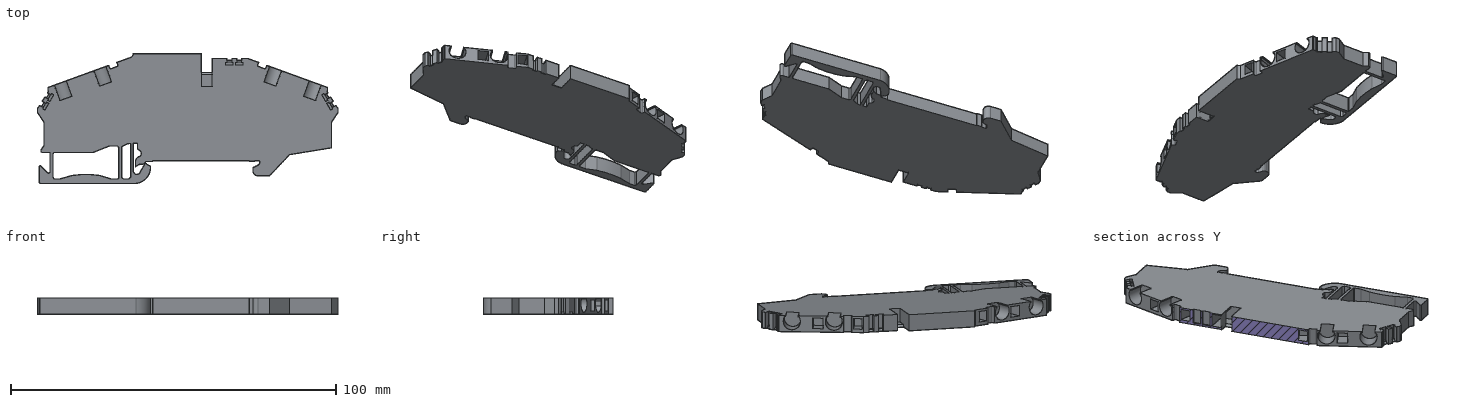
import cadquery as cq
import math

length = 92.42
height = 39.9
thickness = 5.1
half_length = length / 2
overrun = 1.0

slope = 20.0
shoulder_foot = (-42.87, 29.57)
notch_start = 19.8
notch_end = 22.4
notch_depth = 1.2
notch_fillet = 0.35
shoulder_end = 27.2

lower_entry = 3.96
upper_entry = 16.9
entry_radius = 2.64
entry_axis_z = 3.3
entry_depth = 5.07
entry_mouth_z = 4.75
entry_mouth_width = 3.87
upper_entry_flat = 2.53

tool_entries = ((10.4, 13.6), (22.9, 25.6))
tool_entry_bottom = 1.1
tool_entry_top = 4.4

marker_pitch = 3.06
neck_width = 1.5
neck_depth = 1.2
bar_width = 2.4
bar_depth = 1.95
marker_open_depth = 0.5
marker_bevel = 0.6
marker_floor_z = 0.7
end_marker_center = (-44.23, 25.9)
end_marker_angle = 60.0

roof_left = -16.78
deck_y = 38.45
deck_marker_x = 14.31

bridge_left = 4.19
bridge_right = 7.5
bridge_open_y = 34.2
bridge_bevel = 0.7
bridge_bottom_y = 29.85
bridge_floor_z = 0.8
bridge_roof = 0.5
bridge_side_wall = 0.4
bridge_side_depth = 3.2
bridge_side_top_y = 36.9

wall_x = 44.2
wall_top_y = 18.8
cheek_y = 21.85
cheek_top_y = 23.1
rail_y = 7.0

foot_left = -45.65
foot_chamfer = 0.3
leg_outer_x = -42.35
window_left = -41.4
window_right = -21.23
narrow_window_left = -20.26
narrow_window_right = -17.58
latch_gap_left = -16.7
latch_gap_right = -15.45
spring_root_y = 12.35
window_floor_y = 1.46
body_lower_y = 9.5

claw_left = 20.0
claw_bottom_y = 2.33


def on_shoulder(along, inward=0.0):
    """Point on the left shoulder, measured along its edge and square into the body."""
    c = math.cos(math.radians(slope))
    s = math.sin(math.radians(slope))
    return (shoulder_foot[0] + along * c + inward * s, shoulder_foot[1] + along * s - inward * c)


def mirrored(points):
    return [(-x, y) for x, y in reversed(points)]


def prism(points):
    return cq.Workplane("XY").polyline(points).close().extrude(thickness)


def both_sides(solid):
    """The solid together with its mirror image across the YZ plane."""
    return solid.union(solid.mirror("YZ"))


def end_profile():
    """Left end from the wall up to the foot of the shoulder."""
    return [
        (-wall_x, wall_top_y),
        (-half_length, cheek_y),
        (-half_length, cheek_top_y),
        (-45.7, 23.75),
        (-42.9, 28.2),
        (-42.95, 28.6),
        (-43.0, 29.3),
        shoulder_foot,
    ]


def body():
    """Housing outline, clockwise from the left wall, without the spring foot."""
    left_end = end_profile()
    deck_end = (deck_y - shoulder_foot[1]) / math.sin(math.radians(slope))
    deck_corner = on_shoulder(deck_end)
    right_end = mirrored(left_end)
    outline = cq.Workplane("XY").moveTo(*left_end[0])
    for point in left_end[1:]:
        outline = outline.lineTo(*point)
    outline = (
        outline.lineTo(*on_shoulder(shoulder_end))
        .threePointArc((-16.98, 39.25), (roof_left, height))
        .lineTo(bridge_left, height)
        .lineTo(bridge_left, deck_y)
        .lineTo(-deck_corner[0], deck_corner[1])
    )
    for point in right_end:
        outline = outline.lineTo(*point)
    return (
        outline.lineTo(wall_x, 10.95)
        .lineTo(31.3, 8.85)
        .lineTo(25.1, claw_bottom_y)
        .lineTo(21.6, claw_bottom_y)
        .threePointArc((20.47, 2.8), (claw_left, 3.93))
        .lineTo(claw_left, 4.6)
        .threePointArc((20.12, 4.9), (20.4, 5.1))
        .lineTo(21.7, 5.75)
        .threePointArc((22.05, 6.3), (22.0, rail_y))
        .lineTo(20.7, rail_y)
        .lineTo(20.5, 6.8)
        .lineTo(19.0, 6.8)
        .lineTo(18.8, rail_y)
        .lineTo(-10.7, rail_y)
        .lineTo(-10.9, 6.75)
        .lineTo(-12.9, 6.7)
        .lineTo(-13.5, 5.95)
        .lineTo(-14.9, 5.85)
        .lineTo(-16.1, 5.1)
        .lineTo(-16.1, 6.3)
        .threePointArc((-15.85, 7.6), (-14.6, 8.4))
        .threePointArc((-14.35, 9.2), (-14.6, 10.0))
        .lineTo(latch_gap_right, 10.6)
        .lineTo(latch_gap_right, spring_root_y)
        .lineTo(narrow_window_left, spring_root_y)
        .lineTo(narrow_window_left, body_lower_y)
        .lineTo(-44.3, body_lower_y)
        .threePointArc((-44.95, 9.65), (-45.15, 10.3))
        .lineTo(-wall_x, 11.7)
        .close()
        .extrude(thickness)
    )


def spring_foot():
    """Latching foot: outer leg, base bar and curled hook, still solid between the legs."""
    return (
        cq.Workplane("XY")
        .moveTo(foot_left + foot_chamfer, 0)
        .lineTo(foot_left, foot_chamfer)
        .lineTo(foot_left, 5.3)
        .lineTo(-45.35, 5.6)
        .lineTo(-42.9, 3.2)
        .lineTo(leg_outer_x, 3.4)
        .lineTo(leg_outer_x, spring_root_y)
        .lineTo(latch_gap_left, spring_root_y)
        .lineTo(latch_gap_left, 4.0)
        .threePointArc((-15.75, 2.85), (-14.6, 3.6))
        .lineTo(-13.4, 5.7)
        .lineTo(-13.1, 6.45)
        .lineTo(-12.5, 5.85)
        .lineTo(-11.4, 5.3)
        .threePointArc((-12.75, 1.6), (-15.9, 0))
        .close()
        .extrude(thickness)
    )


def main_window():
    """Large opening between the two outer spring legs, over the bowed base bar."""
    return (
        cq.Workplane("XY")
        .moveTo(window_left, 9.2)
        .lineTo(-41.1, body_lower_y)
        .lineTo(-29.13, body_lower_y)
        .lineTo(-24.1, 11.5)
        .lineTo(-21.6, 11.5)
        .lineTo(window_right, 11.1)
        .lineTo(window_right, 1.7)
        .lineTo(-21.5, window_floor_y)
        .lineTo(-23.6, window_floor_y)
        .lineTo(-27.0, 2.5)
        .threePointArc((-31.3, 2.85), (-35.6, 2.5))
        .lineTo(-39.2, window_floor_y)
        .lineTo(-41.1, window_floor_y)
        .lineTo(window_left, 2.0)
        .close()
        .extrude(thickness)
    )


def narrow_window():
    """Opening between the two inner spring legs."""
    return prism([
        (narrow_window_left, 11.3),
        (-18.5, 12.2),
        (narrow_window_right, 12.3),
        (narrow_window_right, 2.0),
        (-18.1, window_floor_y),
        (-19.8, window_floor_y),
        (narrow_window_left, 1.9),
    ])


def shoulder_notch():
    """Square notch in the shoulder edge with rounded corners."""
    corners = [
        (notch_start, -overrun),
        (notch_end, -overrun),
        (notch_end, notch_depth),
        (notch_start, notch_depth),
    ]
    notch = prism([on_shoulder(*corner) for corner in corners])
    return notch.edges("|Z").fillet(notch_fillet)


def wire_entry(along, flat_offset=entry_radius):
    """Round bore with a straight-sided mouth at the upper face and a flat on its roof side."""
    x, y = on_shoulder(along)
    plane = cq.Plane(
        origin=(x, y, entry_axis_z),
        xDir=(math.cos(math.radians(slope)), math.sin(math.radians(slope)), 0),
        normal=(math.sin(math.radians(slope)), -math.cos(math.radians(slope)), 0),
    )
    mouth_rise = entry_mouth_z - entry_axis_z
    bore_limit = (
        cq.Workplane(plane)
        .moveTo(-entry_radius, -entry_radius)
        .lineTo(flat_offset, -entry_radius)
        .lineTo(flat_offset, mouth_rise)
        .lineTo(-entry_radius, mouth_rise)
        .close()
        .extrude(entry_depth)
    )
    bore = cq.Workplane(plane).circle(entry_radius).extrude(entry_depth).intersect(bore_limit)
    mouth_top = thickness - entry_axis_z
    mouth = (
        cq.Workplane(plane)
        .center(0, (mouth_rise + mouth_top) / 2)
        .rect(entry_mouth_width, mouth_top - mouth_rise)
        .extrude(entry_depth)
    )
    return bore.union(mouth)


def tool_entry(start, end):
    """Blind rectangular pocket sunk square into the shoulder."""
    corners = [(start, 0), (end, 0), (end, entry_depth), (start, entry_depth)]
    return (
        cq.Workplane("XY", origin=(0, 0, tool_entry_bottom))
        .polyline([on_shoulder(*corner) for corner in corners])
        .close()
        .extrude(tool_entry_top - tool_entry_bottom)
    )


def stepped_cut(width, open_depth, bevel, depth, floor_z, bevel_drop):
    """Slot centred on X=0 going down from Y=0: through at the mouth, then a bevelled floor."""
    return (
        cq.Workplane("YZ", origin=(-width / 2, 0, 0))
        .moveTo(overrun, 0)
        .lineTo(overrun, thickness)
        .lineTo(-depth, thickness)
        .lineTo(-depth, floor_z)
        .lineTo(-open_depth - bevel, floor_z)
        .lineTo(-open_depth, floor_z - bevel_drop)
        .lineTo(-open_depth, 0)
        .close()
        .extrude(width)
    )


def marker_slots():
    """Pair of T-shaped slots centred on the origin and opening toward +Y."""
    neck = stepped_cut(neck_width, marker_open_depth, marker_bevel, neck_depth, marker_floor_z, marker_bevel)
    bar = (
        cq.Workplane("XY", origin=(0, -(neck_depth + bar_depth) / 2, marker_floor_z))
        .rect(bar_width, bar_depth - neck_depth)
        .extrude(thickness - marker_floor_z)
    )
    slot = neck.union(bar)
    return slot.translate((-marker_pitch / 2, 0, 0)).union(slot.translate((marker_pitch / 2, 0, 0)))


def side_cavity(x_start, x_end, y_top):
    """Covered box beside the bridge slot, between its floor and the thin roof."""
    return cq.Workplane("XY", origin=(x_start, bridge_bottom_y, bridge_floor_z)).box(
        x_end - x_start,
        y_top - bridge_bottom_y,
        thickness - bridge_roof - bridge_floor_z,
        centered=False,
    )


def bridge_slot():
    """Slot in the top edge with its bevelled floor and the covered cavity beside it."""
    slot = stepped_cut(
        bridge_right - bridge_left,
        height - bridge_open_y,
        bridge_bevel,
        height - bridge_bottom_y,
        bridge_floor_z,
        bridge_bevel,
    )
    slot = slot.translate(((bridge_left + bridge_right) / 2, height, 0))
    window_top_y = bridge_open_y - bridge_bevel
    window = side_cavity(bridge_right, bridge_right + bridge_side_wall, window_top_y)
    cavity = side_cavity(bridge_right + bridge_side_wall, bridge_right + bridge_side_depth, bridge_side_top_y)
    return slot.union(window).union(cavity)


result = body().union(spring_foot()).cut(main_window()).cut(narrow_window())
result = result.cut(both_sides(shoulder_notch()))
result = result.cut(both_sides(wire_entry(lower_entry)))
result = result.cut(both_sides(wire_entry(upper_entry, upper_entry_flat)))
for start, end in tool_entries:
    result = result.cut(both_sides(tool_entry(start, end)))
end_slots = marker_slots().rotate((0, 0, 0), (0, 0, 1), end_marker_angle)
result = result.cut(both_sides(end_slots.translate((*end_marker_center, 0))))
result = result.cut(marker_slots().translate((deck_marker_x, deck_y, 0)))
result = result.cut(bridge_slot())